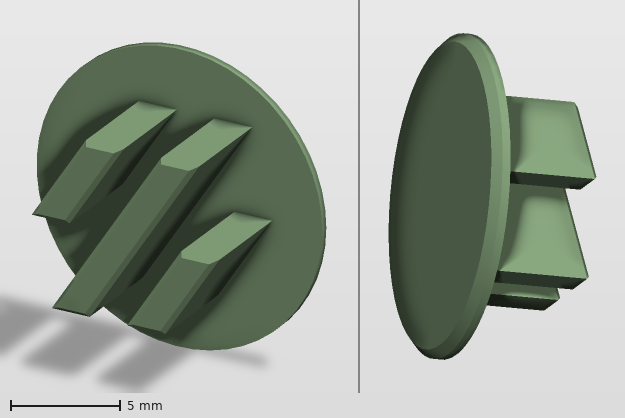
import cadquery as cq

cap_diameter = 15.0
cap_thickness = 0.8
cap_chamfer = 0.4

total_depth = 6.0
bar_height = total_depth - cap_thickness
bar_width = 2.0
bar_lean = 0.65
bar_chamfer = 0.22
pattern_x = -0.05
pattern_z = -0.02
pattern_half_height = 4.42
short_bar_gap = 0.05
short_bar_shift = 3.96


def slanted_bar(shift, z_low, z_high):
    """Bar with a parallelogram section, moved along X from the pattern centre."""
    x_low = pattern_x + shift + bar_lean * z_low - bar_width / 2
    x_high = pattern_x + shift + bar_lean * z_high - bar_width / 2
    outline = [
        (x_low, pattern_z + z_low),
        (x_low + bar_width, pattern_z + z_low),
        (x_high + bar_width, pattern_z + z_high),
        (x_high, pattern_z + z_high),
    ]
    bar = cq.Workplane("XZ").polyline(outline).close().extrude(bar_height)
    return bar.faces("<Y").chamfer(bar_chamfer)


cap = cq.Workplane("XZ").circle(cap_diameter / 2).extrude(-cap_thickness)
cap = cap.faces(">Y").chamfer(cap_chamfer)

long_bar = slanted_bar(0, -pattern_half_height, pattern_half_height)
left_bar = slanted_bar(-short_bar_shift, short_bar_gap, pattern_half_height)
right_bar = slanted_bar(short_bar_shift, -pattern_half_height, -short_bar_gap)

result = cap.union(long_bar).union(left_bar).union(right_bar)